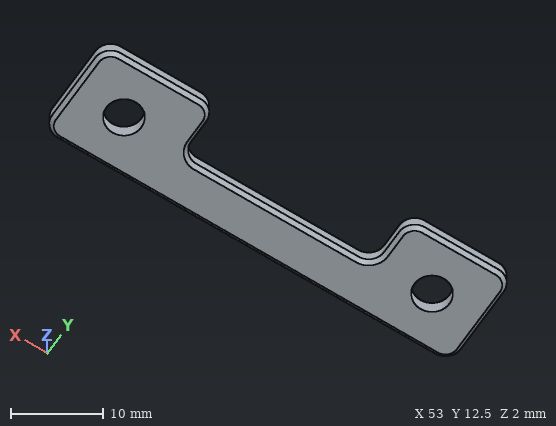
import cadquery as cq

length = 53.0
width = 12.5
thickness = 2.0
corner_radius = 2.0
bottom_chamfer = 0.5

left_tab_width = 13.55
right_tab_width = 14.4
notch_depth = 7.0

hole_diameter = 4.5
hole_end_distance = 6.5


def plate_blank():
    """U-shaped plate with every outline corner rounded."""
    notch_left = -length / 2 + left_tab_width
    notch_right = length / 2 - right_tab_width
    notch_floor = width / 2 - notch_depth
    outline = [
        (-length / 2, -width / 2),
        (length / 2, -width / 2),
        (length / 2, width / 2),
        (notch_right, width / 2),
        (notch_right, notch_floor),
        (notch_left, notch_floor),
        (notch_left, width / 2),
        (-length / 2, width / 2),
    ]
    plate = cq.Workplane("XY").polyline(outline).close().extrude(thickness)
    return plate.edges("|Z").fillet(corner_radius)


plate = plate_blank().faces("<Z").edges().chamfer(bottom_chamfer)

hole_x = length / 2 - hole_end_distance
holes = (
    cq.Workplane("XY")
    .pushPoints([(-hole_x, 0), (hole_x, 0)])
    .circle(hole_diameter / 2)
    .extrude(thickness)
)

result = plate.cut(holes)